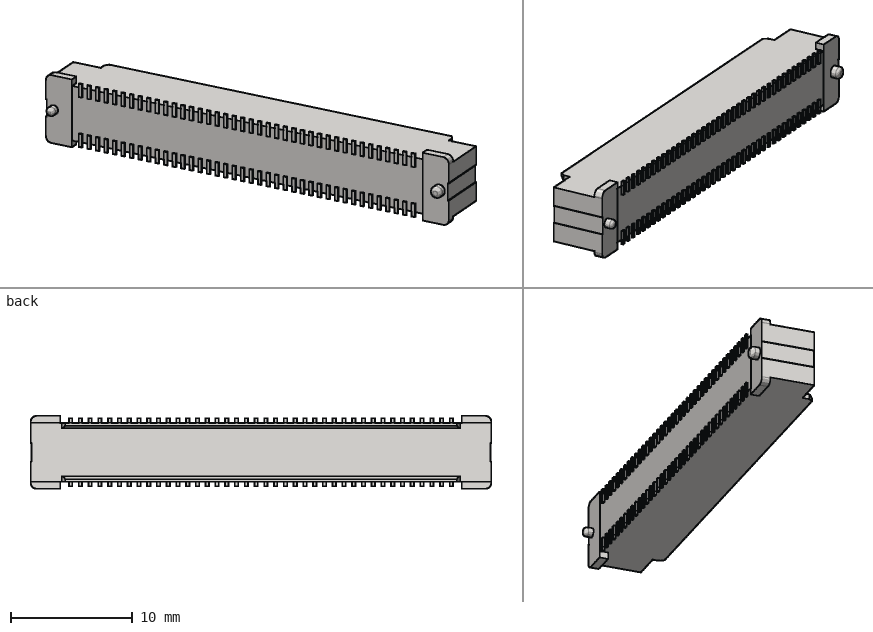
import cadquery as cq


length = 37.8
housing_height = 4.85
housing_front_y = 0.05
housing_back_y = 4.65

overall_depth = 6.35
wall_length = 32.65
wall_thickness = 0.45
wall_inner_chamfer = 0.23
wall_end_chamfer_x = 0.25
wall_end_chamfer_y = 0.38

groove_width = 1.5
groove_depth = 0.08

plate_length = 2.45
plate_height = 6.0
plate_thickness = 0.75
plate_corner_radius = 0.53

small_peg_x = -18.15
large_peg_x = 18.03
peg_length = 0.75
small_peg_diameter = 0.8
large_peg_diameter = 1.02
peg_tip_radius = 0.3

tail_count = 40
tail_row_span = 31.22
tail_pitch = tail_row_span / (tail_count - 1)
tail_width = 0.3
tail_outer_z = 2.8
tail_inner_z = 1.63
tail_front_y = -0.1

wall_tip_y = overall_depth - peg_length


def make_housing():
    """Plain block that carries the walls, plates and tails."""
    depth = housing_back_y - housing_front_y
    body = cq.Workplane("XY").box(length, depth, housing_height, centered=(True, False, True))
    return body.translate((0, housing_front_y, 0))


def make_mating_wall(side):
    """Wall on the +Z (side = 1) or -Z (side = -1) edge of the back face."""
    half = wall_length / 2
    outer_z = housing_height / 2
    inner_z = outer_z - wall_thickness
    plan = [
        (-half, housing_back_y),
        (half, housing_back_y),
        (half, wall_tip_y - wall_end_chamfer_y),
        (half - wall_end_chamfer_x, wall_tip_y),
        (wall_end_chamfer_x - half, wall_tip_y),
        (-half, wall_tip_y - wall_end_chamfer_y),
    ]
    section = [
        (housing_back_y, side * outer_z),
        (wall_tip_y, side * outer_z),
        (wall_tip_y, side * (inner_z + wall_inner_chamfer)),
        (wall_tip_y - wall_inner_chamfer, side * inner_z),
        (housing_back_y, side * inner_z),
    ]
    outline = cq.Workplane("XY").polyline(plan).close().extrude(housing_height / 2, both=True)
    profile = cq.Workplane("YZ").polyline(section).close().extrude(wall_length / 2, both=True)
    return outline.intersect(profile)


def make_end_plate(side):
    """End plate at the +X (side = 1) or -X (side = -1) end, outer corners rounded."""
    plate = cq.Workplane("XY").box(plate_length, plate_thickness, plate_height)
    outer_edges = "|Y and >X" if side > 0 else "|Y and <X"
    plate = plate.edges(outer_edges).fillet(plate_corner_radius)
    return plate.translate((side * (length - plate_length) / 2, plate_thickness / 2, 0))


def make_end_groove(side):
    """Cutter for the groove that runs the full depth of one end face."""
    cutter_size = (2 * groove_depth, housing_back_y, groove_width)
    groove = cq.Workplane("XY").box(*cutter_size, centered=(True, False, True))
    return groove.translate((side * length / 2, 0, 0))


def make_peg(x, diameter):
    """Round peg standing out from the front of an end plate, with a rounded tip."""
    peg = cq.Workplane("XZ", origin=(x, 0, 0)).circle(diameter / 2).extrude(peg_length)
    return peg.faces("<Y").edges().fillet(peg_tip_radius)


def make_tail_row(side):
    """Row of flat tails on the front face, above (side = 1) or below (side = -1) the middle."""
    tail_height = tail_outer_z - tail_inner_z
    tail_depth = housing_front_y - tail_front_y
    middle_y = (housing_front_y + tail_front_y) / 2
    middle_z = side * (tail_outer_z + tail_inner_z) / 2
    row = cq.Workplane("XZ", origin=(0, middle_y, middle_z))
    return row.rarray(tail_pitch, 0.38, tail_count, 1).box(tail_width, tail_height, tail_depth)


result = make_housing()
for side in (-1, 1):
    result = result.union(make_mating_wall(side))
    result = result.union(make_end_plate(side))
    result = result.union(make_tail_row(side))
for side in (-1, 1):
    result = result.cut(make_end_groove(side))
result = result.union(make_peg(small_peg_x, small_peg_diameter))
result = result.union(make_peg(large_peg_x, large_peg_diameter))